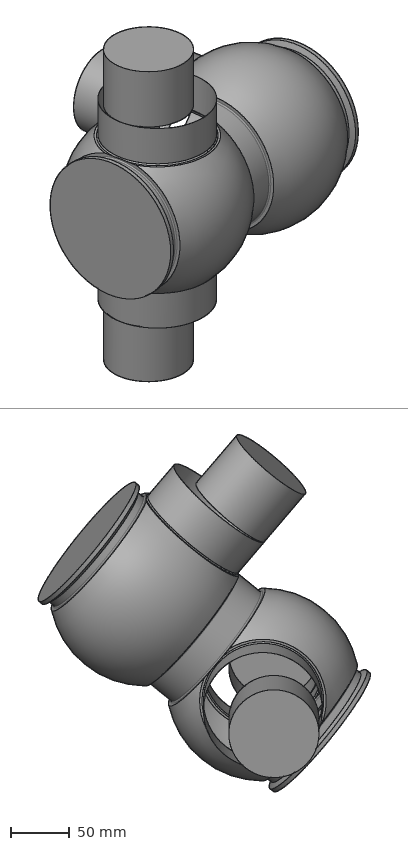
import cadquery as cq
import math

total_length_y = 260.5
ball_spacing = 130.2
ball_radius = 82.5
neck_flat = 51.3
port_flat = 62.3

neck_radius = 60.2
neck_root_fillet = 1.2
flange_radius = 65.5
flange_rim = 4.0
flange_taper = 2.5

collar_radius = 50.7
collar_end = 98.5
collar_root_fillet = 1.2
shaft_radius = 38.5
shaft_end = 152.8
shaft_offset = collar_radius - shaft_radius

half_length = total_length_y / 2
front_y = -ball_spacing / 2
back_y = ball_spacing / 2


def root_ring(radius, fillet):
    """Concave fillet ring around a Z cylinder, standing on Z = 0."""
    return (
        cq.Workplane("XZ")
        .lineTo(radius + fillet, 0)
        .radiusArc((radius, fillet), fillet)
        .lineTo(0, fillet)
        .close()
        .revolve(360, (0, 0), (0, 1))
    )


def ball(port_directions):
    """Ball at the origin, cut flat around the neck and around each port."""
    flat_radius = math.sqrt(ball_radius**2 - neck_flat**2)
    width = 2 * ball_radius
    body = (
        cq.Workplane("XY")
        .moveTo(0, -neck_flat)
        .lineTo(flat_radius, -neck_flat)
        .threePointArc((ball_radius, 0), (flat_radius, neck_flat))
        .lineTo(0, neck_flat)
        .close()
        .revolve(360, (0, 0), (0, 1))
    )
    for direction in port_directions:
        body = body.cut(
            cq.Workplane(port_plane(direction))
            .workplane(offset=port_flat)
            .rect(width, width)
            .extrude(width)
        )
    return body


def port_plane(direction):
    """Plane at the ball centre facing along the port, with its local x along +Y."""
    return cq.Plane(origin=(0, 0, 0), xDir=(0, 1, 0), normal=direction)


def placed(shape, plane, height):
    """Move a shape built along Z onto a plane, raised along the plane's normal."""
    return shape.translate((0, 0, height)).val().moved(plane.location)


def port(direction):
    """Collar, root fillet and off-centre shaft pointing away from the ball centre."""
    plane = port_plane(direction)
    collar = cq.Workplane(plane).circle(collar_radius).extrude(collar_end)
    shaft = cq.Workplane(plane).center(-shaft_offset, 0).circle(shaft_radius).extrude(shaft_end)
    ring = placed(root_ring(collar_radius, collar_root_fillet), plane, port_flat)
    limit = cq.Workplane("XY").box(2 * shaft_end, 2 * neck_flat, 2 * shaft_end)
    return collar.union(shaft).union(limit.intersect(cq.Workplane(ring)))


def housing(centre_y, port_directions):
    """Ball with its ports and the neck fillets on both sides."""
    body = ball(port_directions)
    for direction in port_directions:
        body = body.union(port(direction))
    for side in (-1, 1):
        plane = cq.Plane(origin=(0, 0, 0), xDir=(1, 0, 0), normal=(0, side, 0))
        ring = placed(root_ring(neck_radius, neck_root_fillet), plane, neck_flat)
        body = body.union(cq.Workplane(ring))
    return body.translate((0, centre_y, 0))


def neck_with_flanges():
    """Neck along Y with a tapered-back flange at each end."""
    rim_y = half_length - flange_rim
    taper_y = rim_y - flange_taper
    return (
        cq.Workplane("XY")
        .moveTo(0, -half_length)
        .lineTo(flange_radius, -half_length)
        .lineTo(flange_radius, -rim_y)
        .lineTo(neck_radius, -taper_y)
        .lineTo(neck_radius, taper_y)
        .lineTo(flange_radius, rim_y)
        .lineTo(flange_radius, half_length)
        .lineTo(0, half_length)
        .close()
        .revolve(360, (0, 0), (0, 1))
    )


front_housing = housing(front_y, [(0, 0, 1), (0, 0, -1)])
back_housing = housing(back_y, [(-1, 0, 0)])
result = neck_with_flanges().union(front_housing).union(back_housing)